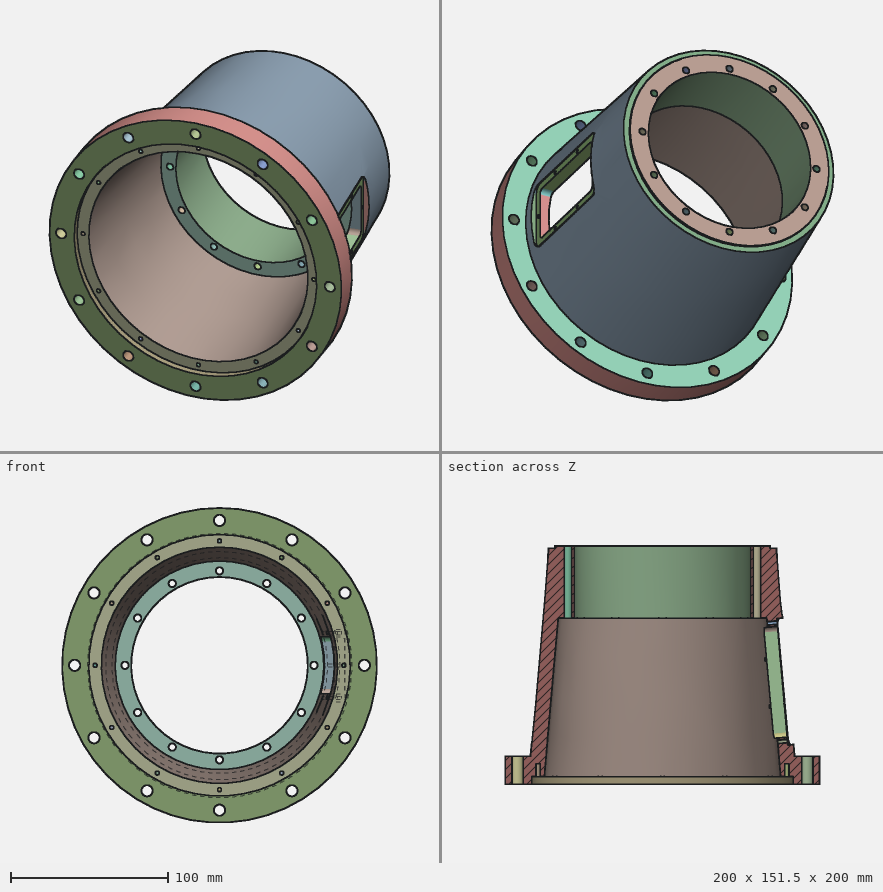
import cadquery as cq
import math


flange_radius = 100.0
flange_thickness = 18.0
shoulder_y = 150.0
spigot_radius = 68.5
spigot_height = 1.5
cone_base_radius = 84.0
taper_angle = math.radians(5.0)
taper = math.tan(taper_angle)
cone_end_radius = cone_base_radius - taper * (shoulder_y - flange_thickness)
total_length = shoulder_y + spigot_height

recess_radius = 83.0
recess_depth = 5.0
cavity_mouth_radius = 75.0
cavity_end_radius = 66.2
cavity_end_y = recess_depth + (cavity_mouth_radius - cavity_end_radius) / taper
bore_radius = 56.0

holes_per_circle = 12
flange_hole_circle_radius = 92.0
flange_hole_diameter = 7.0
end_hole_circle_radius = 60.0
end_hole_diameter = 4.5
recess_hole_circle_radius = 79.0
recess_hole_diameter = 2.5
recess_hole_depth = 8.0

seat_depth = 3.8
seat_center_y = 65.2
seat_length = 80.5
seat_width = 46.0
seat_border = 5.0
seat_corner_radius = 5.0
seat_center_x = cone_base_radius - taper * (seat_center_y - flange_thickness) - seat_depth

window_length = seat_length - 2 * seat_border
window_width = seat_width - 2 * seat_border
window_corner_radius = 3.0
screw_hole_diameter = 2.0
side_screw_pitch = 30.0
wall_cut_depth = 30.0
seat_clearance = 10.0


def make_body():
    """Revolve the hollow flanged cone about the Y axis."""
    profile = (
        cq.Workplane("ZY")
        .moveTo(recess_radius, 0)
        .lineTo(flange_radius, 0)
        .lineTo(flange_radius, flange_thickness)
        .lineTo(cone_base_radius, flange_thickness)
        .lineTo(cone_end_radius, shoulder_y)
        .lineTo(spigot_radius, shoulder_y)
        .lineTo(spigot_radius, total_length)
        .lineTo(bore_radius, total_length)
        .lineTo(bore_radius, cavity_end_y)
        .lineTo(cavity_end_radius, cavity_end_y)
        .lineTo(cavity_mouth_radius, recess_depth)
        .lineTo(recess_radius, recess_depth)
        .close()
    )
    return profile.revolve(360, (0, 0, 0), (0, 1, 0))


def make_hole_circle(circle_radius, diameter, start_y, depth):
    """Ring of drills running in +Y from start_y."""
    return (
        cq.Workplane("XZ", origin=(0, start_y, 0))
        .polarArray(circle_radius, 0, 360, holes_per_circle)
        .circle(diameter / 2)
        .extrude(-depth)
    )


def seat_workplane():
    """Workplane on the seat: local x runs along the cone wall, local z points outward."""
    plane = cq.Plane(
        origin=(seat_center_x, seat_center_y, 0),
        xDir=(-math.sin(taper_angle), math.cos(taper_angle), 0),
        normal=(math.cos(taper_angle), math.sin(taper_angle), 0),
    )
    return cq.Workplane(plane)


def make_rounded_block(length, width, corner_radius, height):
    """Rounded rectangular cutter standing on the seat; a negative height goes inward."""
    outline = cq.Sketch().rect(length, width).vertices().fillet(corner_radius)
    return seat_workplane().placeSketch(outline).extrude(height)


def make_screw_holes():
    """Drills square to the seat: one beyond each window end, two beyond each long side."""
    end_offset = (seat_length - seat_border) / 2
    side_offset = (seat_width - seat_border) / 2
    points = [(-end_offset, 0), (end_offset, 0)]
    for side in (-1, 1):
        for end in (-1, 1):
            points.append((end * side_screw_pitch / 2, side * side_offset))
    return seat_workplane().pushPoints(points).circle(screw_hole_diameter / 2).extrude(-wall_cut_depth)


flange_holes = make_hole_circle(flange_hole_circle_radius, flange_hole_diameter, 0, flange_thickness)
end_holes = make_hole_circle(end_hole_circle_radius, end_hole_diameter, 0, total_length)
recess_holes = make_hole_circle(
    recess_hole_circle_radius, recess_hole_diameter, recess_depth, recess_hole_depth
)
seat = make_rounded_block(seat_length, seat_width, seat_corner_radius, seat_clearance)
window = make_rounded_block(window_length, window_width, window_corner_radius, -wall_cut_depth)

result = make_body()
for cutter in (flange_holes, end_holes, recess_holes, seat, window, make_screw_holes()):
    result = result.cut(cutter)